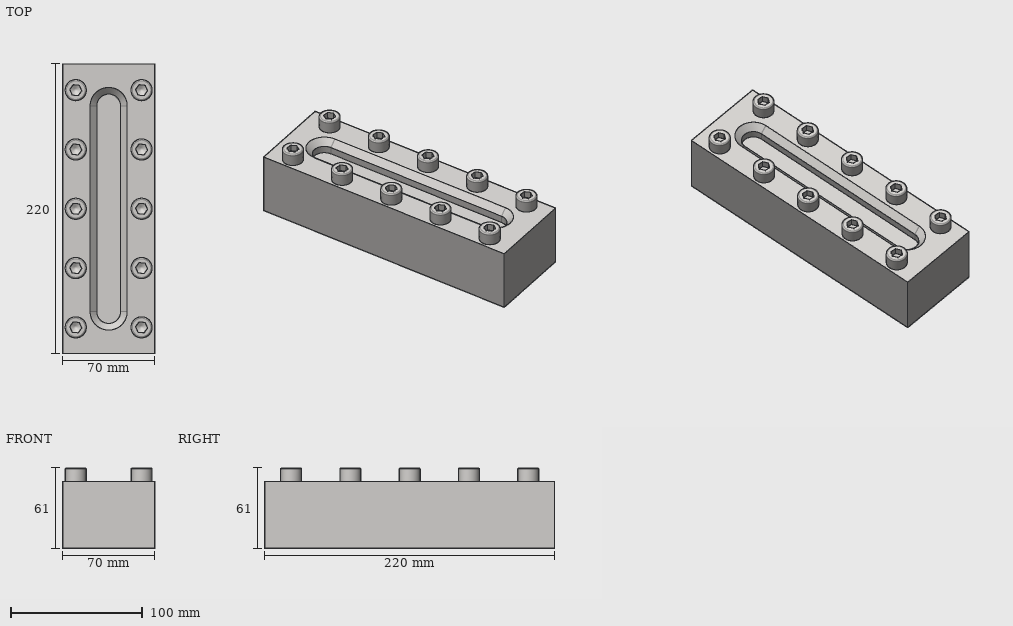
import cadquery as cq
import math

block_width = 70.0
block_length = 220.0
total_height = 61.0

head_diameter = 16.0
head_height = 10.1
head_edge_radius = 1.0
row_spacing = 50.0
row_length = 180.0
screws_per_row = 5

socket_across_flats = 8.0
socket_turn_angle = -6.0
socket_depth = 5.0
socket_cone_depth = 2.6

slot_straight_length = 156.0
slot_width = 18.0
slot_chamfer = 5.0
slot_depth = 11.0

block_height = total_height - head_height
screw_pitch = row_length / (screws_per_row - 1)
socket_across_corners = socket_across_flats / math.cos(math.pi / 6)


def make_block():
    return cq.Workplane("XY").box(block_width, block_length, block_height, centered=(True, True, False))


def slot_section(z):
    """Rounded-end slot outline along Y at height z."""
    return cq.Workplane("XY", origin=(0, 0, z)).slot2D(slot_straight_length + slot_width, slot_width, 90)


def make_slot():
    """Material removed for the slot: straight walls, widening at 45 degrees towards the top."""
    walls = slot_section(block_height - slot_depth).extrude(slot_depth - slot_chamfer)
    rim = slot_section(block_height - slot_chamfer).extrude(slot_chamfer, taper=-45)
    return walls.union(rim)


def make_socket():
    """Hexagonal recess opening upwards at the XY plane and ending in a cone."""
    corner_radius = socket_across_corners / 2
    full_depth = socket_depth + socket_cone_depth
    hexagon = (
        cq.Workplane("XY")
        .transformed(rotate=(0, 0, socket_turn_angle))
        .polygon(6, socket_across_corners)
        .extrude(-full_depth)
    )
    pointed_bore = (
        cq.Workplane("XZ")
        .lineTo(corner_radius, 0)
        .lineTo(corner_radius, -socket_depth)
        .lineTo(0, -full_depth)
        .close()
        .revolve(360, (0, 0), (0, 1))
    )
    return hexagon.intersect(pointed_bore)


def make_screw_head():
    """Head standing on the XY plane, with a rounded top edge and a hexagonal socket."""
    head = cq.Workplane("XY").circle(head_diameter / 2).extrude(head_height)
    head = head.faces(">Z").edges().fillet(head_edge_radius)
    return head.cut(make_socket().translate((0, 0, head_height)))


result = make_block().cut(make_slot())

screw_head = make_screw_head()
for side in (-1, 1):
    for index in range(screws_per_row):
        x = side * row_spacing / 2
        y = index * screw_pitch - row_length / 2
        result = result.union(screw_head.translate((x, y, block_height)))